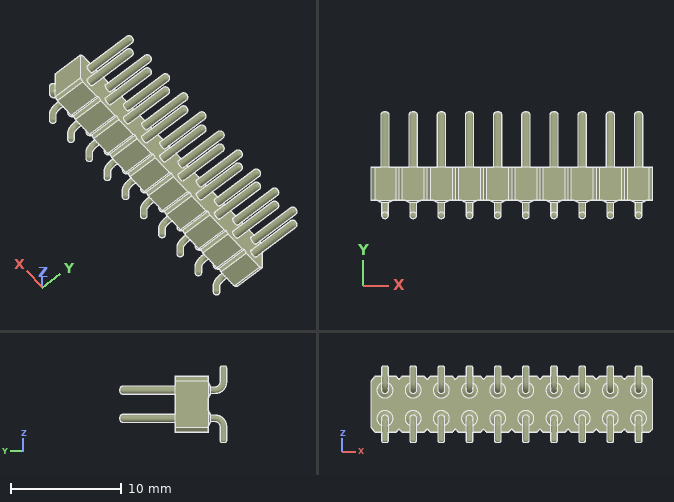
import cadquery as cq

pins_per_row = 10
pitch = 2.55
length = pins_per_row * pitch
row_z = pitch / 2

housing_height = 2 * pitch
housing_depth = 3.0
left_corner_width = 0.38
left_corner_height = 0.45
right_corner = 0.3
notch_half_width = 0.28
notch_depth = 0.3

pin_radius = 0.38
pin_length = 5.0
pin_tip_round = 0.3

collar_radius = 0.7
collar_length = 0.2

tail_radius = 0.3
tail_reach = 1.65
tail_span = 6.93
bend_radius = 0.74
tail_tip_round = 0.2

front_y = 0.0
back_y = front_y + housing_depth
pin_xs = [(i + 0.5) * pitch - length / 2 for i in range(pins_per_row)]
notch_xs = [i * pitch - length / 2 for i in range(1, pins_per_row)]


def make_housing():
    """Block with bevelled ends and V-notches between neighbouring positions."""
    half_length = length / 2
    half_height = housing_height / 2
    upper_edge = [
        (-half_length, half_height - left_corner_height),
        (-half_length + left_corner_width, half_height),
    ]
    for x in notch_xs:
        upper_edge += [
            (x - notch_half_width, half_height),
            (x, half_height - notch_depth),
            (x + notch_half_width, half_height),
        ]
    upper_edge += [
        (half_length - right_corner, half_height),
        (half_length, half_height - right_corner),
    ]
    lower_edge = [(x, -z) for x, z in reversed(upper_edge)]
    return cq.Workplane("XZ").polyline(upper_edge + lower_edge).close().extrude(-housing_depth)


def make_pin():
    """Straight pin with a rounded tip, pointing along +Y from the housing."""
    pin = cq.Workplane("XZ", origin=(0, back_y, 0)).circle(pin_radius).extrude(-pin_length)
    return pin.faces(">Y").edges().fillet(pin_tip_round)


def make_collar():
    """Cone narrowing from the housing face to the tail."""
    return (
        cq.Workplane("XY")
        .moveTo(0, front_y)
        .lineTo(collar_radius, front_y)
        .lineTo(tail_radius, front_y - collar_length)
        .lineTo(0, front_y - collar_length)
        .close()
        .revolve(360, (0, 0, 0), (0, 1, 0))
    )


def make_tail():
    """Round tail running out along -Y and bending up to a rounded tip."""
    leg_y = front_y - tail_reach + tail_radius
    tip_z = tail_span / 2 - row_z
    path = (
        cq.Workplane("YZ")
        .moveTo(front_y, 0)
        .lineTo(leg_y + bend_radius, 0)
        .tangentArcPoint((leg_y, bend_radius), relative=False)
        .lineTo(leg_y, tip_z)
    )
    tail = cq.Workplane("XZ", origin=(0, front_y, 0)).circle(tail_radius).sweep(path)
    return tail.faces(">Z").edges().fillet(tail_tip_round)


def make_contact():
    """Pieces of one contact with its tail bent up, lying on the Y axis."""
    return [make_pin().val(), make_collar().val(), make_tail().val()]


upper_contact = [piece.translate(cq.Vector(0, 0, row_z)) for piece in make_contact()]
lower_contact = [piece.mirror("XY") for piece in upper_contact]

contact_pieces = [
    piece.translate(cq.Vector(x, 0, 0))
    for x in pin_xs
    for piece in upper_contact + lower_contact
]
result = cq.Workplane(make_housing().val().fuse(*contact_pieces))